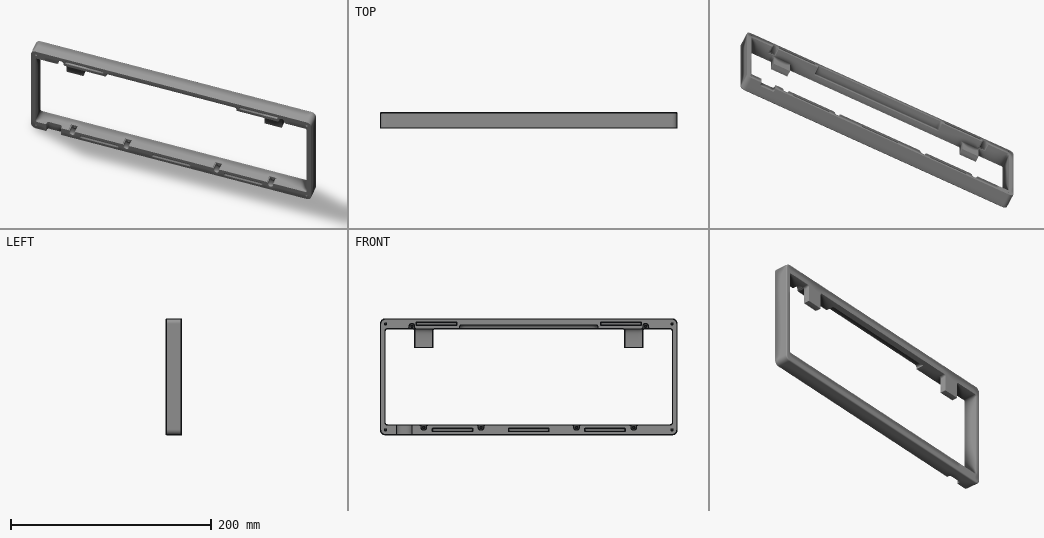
import cadquery as cq

width = 296.2
depth = 15.5
height = 115.8
side_wall = 4.7
rail_height = 10.0
inner_corner_radius = 1.8
corner_radius = 5.0
back_edge_fillet = 1.2

inner_half_height = height / 2 - rail_height

screw_diameter = 2.0
screw_depth = 6.0
screw_half_spacing_x = width / 2 - corner_radius
screw_half_spacing_z = height / 2 - corner_radius

seat_diameter = 5.5
seat_depth = 8.0
seat_mouth_fillet = 1.0
seat_centre_offset = 2.7
seat_height = inner_half_height + seat_centre_offset
top_seat_positions = (-116.7, 116.7)
bottom_seat_positions = (-105.0, -47.7, 47.7, 105.0)

slot_length = 41.0
slot_height = 3.5
slot_depth = 2.0
slot_mouth_chamfer = 0.45
chamfer_angle = 45
slot_corner_radius = 1.2
slot_centre_height = 53.0
top_slot_positions = (-92.0, 92.0)
bottom_slot_positions = (-76.0, 0, 76.0)

tab_width = 18.0
tab_drop = 18.7
tab_thickness = 6.5
tab_root_fillet = 1.8
tab_positions = (-105.0, 105.0)

relief_length = 138.0
relief_height = 4.0
relief_depth = 9.0
relief_corner_radius = 2.0

passage_left = -132.0
passage_right = -116.5
passage_depth = 3.9
passage_fillet = 1.8


def block(x_min, x_max, y_min, y_max, z_min, z_max):
    """Box given by its limits along each axis."""
    size = (x_max - x_min, y_max - y_min, z_max - z_min)
    return cq.Workplane("XY").box(*size, centered=False).translate((x_min, y_min, z_min))


def round_pocket(x, z, diameter, pocket_depth):
    """Cylinder running from the front face towards the back."""
    return cq.Workplane("XZ", origin=(x, 0, z)).circle(diameter / 2).extrude(-pocket_depth)


def frame():
    outer = block(-width / 2, width / 2, 0, depth, -height / 2, height / 2)
    outer = outer.edges("|Y").fillet(corner_radius)
    outer = outer.faces(">Y").edges().fillet(back_edge_fillet)
    inner_half_width = width / 2 - side_wall
    opening = block(-inner_half_width, inner_half_width, 0, depth, -inner_half_height, inner_half_height)
    return outer.cut(opening.edges("|Y").fillet(inner_corner_radius))


def tab(x):
    """Tab hanging from the top rail, flush with the back face, with fillets where its sides meet the rail."""
    half = tab_width / 2
    root = inner_half_height
    r = tab_root_fillet
    profile = (
        cq.Workplane("XZ", origin=(x, depth - tab_thickness, 0))
        .moveTo(-half - r, root)
        .radiusArc((-half, root - r), r)
        .lineTo(-half, root - tab_drop)
        .lineTo(half, root - tab_drop)
        .lineTo(half, root - r)
        .radiusArc((half + r, root), r)
        .close()
    )
    return profile.extrude(-tab_thickness)


def screw_seat(x, side):
    """Seat cutter in the top (side = 1) or bottom (side = -1) rail, with its pilot hole."""
    z = side * seat_height
    half = seat_diameter / 2
    edge = side * inner_half_height
    r = seat_mouth_fillet
    seat = (
        cq.Workplane("XZ", origin=(x, 0, 0))
        .moveTo(-half - r, edge)
        .radiusArc((-half, edge + side * r), side * r)
        .lineTo(-half, z)
        .threePointArc((0, z + side * half), (half, z))
        .lineTo(half, edge + side * r)
        .radiusArc((half + r, edge), side * r)
        .close()
        .extrude(-seat_depth)
    )
    return seat.union(round_pocket(x, z, screw_diameter, seat_depth + screw_depth))


def slot(x, side):
    """Rounded blind slot cutter, widened at the front face by a small chamfer."""
    body_length = slot_length - 2 * slot_mouth_chamfer
    body_height = slot_height - 2 * slot_mouth_chamfer
    body_corner_radius = slot_corner_radius - slot_mouth_chamfer
    plane = cq.Workplane("XZ", origin=(x, 0, side * slot_centre_height))
    body = plane.rect(body_length, body_height).extrude(-slot_depth)
    body = body.edges("|Y").fillet(body_corner_radius)
    outline = cq.Sketch().rect(slot_length, slot_height).vertices().fillet(slot_corner_radius)
    mouth = plane.placeSketch(outline).extrude(-slot_mouth_chamfer, taper=chamfer_angle)
    return body.union(mouth)


def relief():
    half = relief_length / 2
    body = block(-half, half, 0, relief_depth, inner_half_height, inner_half_height + relief_height)
    return body.edges("|Y and >Z").fillet(relief_corner_radius)


def passage():
    body = block(passage_left, passage_right, 0, passage_depth, -height / 2, -inner_half_height)
    return body.edges("|Z and >Y").fillet(passage_fillet)


result = frame()

for x in tab_positions:
    result = result.union(tab(x))

for side_x in (-1, 1):
    for side_z in (-1, 1):
        screw_x = side_x * screw_half_spacing_x
        screw_z = side_z * screw_half_spacing_z
        result = result.cut(round_pocket(screw_x, screw_z, screw_diameter, screw_depth))

for side, seats, slots in (
    (1, top_seat_positions, top_slot_positions),
    (-1, bottom_seat_positions, bottom_slot_positions),
):
    for x in seats:
        result = result.cut(screw_seat(x, side))
    for x in slots:
        result = result.cut(slot(x, side))

result = result.cut(relief()).cut(passage())